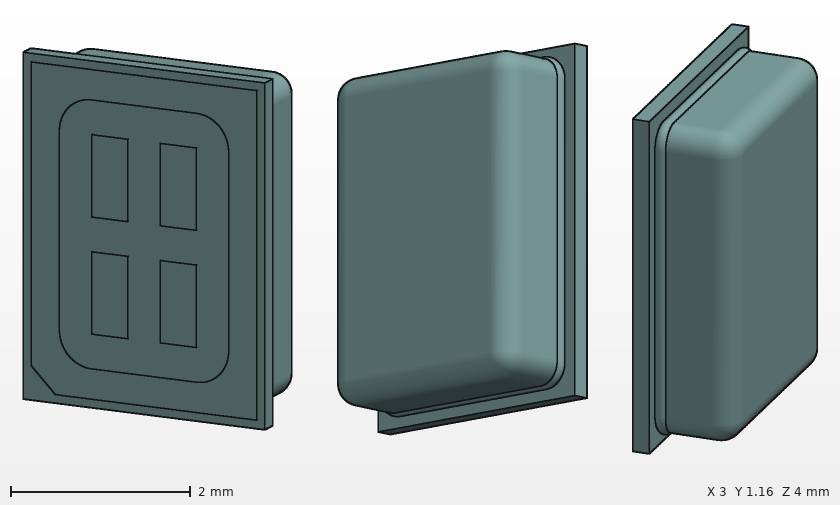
import cadquery as cq
import math


board_width = 3.0
board_length = 4.0
board_thickness = 0.2
total_thickness = 1.16

lid_margin = 0.14
lid_width = board_width - 2 * lid_margin
lid_length = board_length - 2 * lid_margin
lid_height = total_thickness - board_thickness
lid_radius = 0.25

bead_radius = 0.07
bead_overhang = 0.03
bead_height = 0.14
bead_seat_depth = bead_radius - bead_overhang

contact_depth = 0.02
ground_margin = 0.1
ground_width = board_width - 2 * ground_margin
ground_length = board_length - 2 * ground_margin
ground_chamfer = 0.3
opening_width = 2.1
opening_length = 3.1
opening_radius = 0.4
pad_gap = 0.4
pad_columns = 2
pad_rows = 2
pad_width = (opening_width - (pad_columns + 1) * pad_gap) / pad_columns
pad_length = (opening_length - (pad_rows + 1) * pad_gap) / pad_rows


def block(width, length, thickness, bottom=0.0):
    """Plain block centred on the Y axis, rising toward +Y from y = bottom."""
    return cq.Workplane("XZ", origin=(0, bottom, 0)).rect(width, length).extrude(-thickness)


def rounded_block(width, length, thickness, radius, bottom=0.0):
    """Block whose four edges along Y are rounded."""
    return block(width, length, thickness, bottom).edges("|Y").fillet(radius)


def make_ground_ring():
    """Ground contact: a frame with a rounded opening and one chamfered corner."""
    plate = block(ground_width, ground_length, contact_depth)
    plate = plate.edges("|Y and <X and <Z").chamfer(ground_chamfer)
    return plate.cut(rounded_block(opening_width, opening_length, contact_depth, opening_radius))


def make_pads():
    """Signal pads, one solid each, in a grid inside the opening of the ground ring."""
    pads = []
    for column in range(pad_columns):
        x = (column - (pad_columns - 1) / 2) * (pad_width + pad_gap)
        for row in range(pad_rows):
            z = (row - (pad_rows - 1) / 2) * (pad_length + pad_gap)
            pads.append(block(pad_width, pad_length, contact_depth).translate((x, 0, z)))
    return pads


def make_board(contacts):
    """Board with a matching recess for every contact."""
    board = block(board_width, board_length, board_thickness)
    for contact in contacts:
        board = board.cut(contact)
    return board


def make_lid():
    """Lid with rounded corners and top, cut back at its foot to seat the bead."""
    lid = block(lid_width, lid_length, lid_height, board_thickness)
    lid = lid.edges("|Y or >Y").fillet(lid_radius)
    foot = rounded_block(lid_width, lid_length, bead_height, lid_radius, board_thickness)
    core = rounded_block(
        lid_width - 2 * bead_seat_depth,
        lid_length - 2 * bead_seat_depth,
        bead_height,
        lid_radius - bead_seat_depth,
        board_thickness,
    )
    return lid.cut(foot.cut(core))


def make_bead_path():
    """Closed path along the inner foot of the bead, from the middle of the -Z side."""
    half_width = lid_width / 2 - bead_seat_depth
    half_length = lid_length / 2 - bead_seat_depth
    radius = lid_radius - bead_seat_depth
    return (
        cq.Workplane("XZ", origin=(0, board_thickness, 0))
        .moveTo(0, -half_length)
        .lineTo(half_width - radius, -half_length)
        .tangentArcPoint((half_width, -half_length + radius), relative=False)
        .lineTo(half_width, half_length - radius)
        .tangentArcPoint((half_width - radius, half_length), relative=False)
        .lineTo(-half_width + radius, half_length)
        .tangentArcPoint((-half_width, half_length - radius), relative=False)
        .lineTo(-half_width, -half_length + radius)
        .tangentArcPoint((-half_width + radius, -half_length), relative=False)
        .close()
    )


def make_bead():
    """Bead section swept around the foot of the lid."""
    rise = bead_height - bead_radius
    blend_radius = (bead_seat_depth**2 + rise**2 - bead_radius**2) / (2 * bead_overhang)
    blend_out = bead_seat_depth + blend_radius
    touch_angle = math.atan2(rise, blend_out)
    round_mid_angle = (touch_angle - math.pi / 2) / 2
    blend_mid_angle = touch_angle / 2

    def on_round(angle):
        return bead_radius * math.cos(angle), bead_radius * math.sin(angle)

    def place(out, up):
        y = board_thickness + bead_radius + up
        z = -(lid_length / 2 - bead_seat_depth) - out
        return y, z

    blend_mid = (
        blend_out - blend_radius * math.cos(blend_mid_angle),
        rise - blend_radius * math.sin(blend_mid_angle),
    )
    section = (
        cq.Workplane("YZ")
        .moveTo(*place(0, -bead_radius))
        .threePointArc(place(*on_round(round_mid_angle)), place(*on_round(touch_angle)))
        .threePointArc(place(*blend_mid), place(bead_seat_depth, rise))
        .lineTo(*place(0, rise))
        .close()
    )
    return section.sweep(make_bead_path())


ground_ring = make_ground_ring().solids()
pads = make_pads()
board = make_board([ground_ring, *pads]).solids()
lid = make_lid().solids()
bead = make_bead()

result = cq.Compound.makeCompound(
    [board.val(), lid.val(), bead.val(), ground_ring.val(), *[pad.val() for pad in pads]]
)